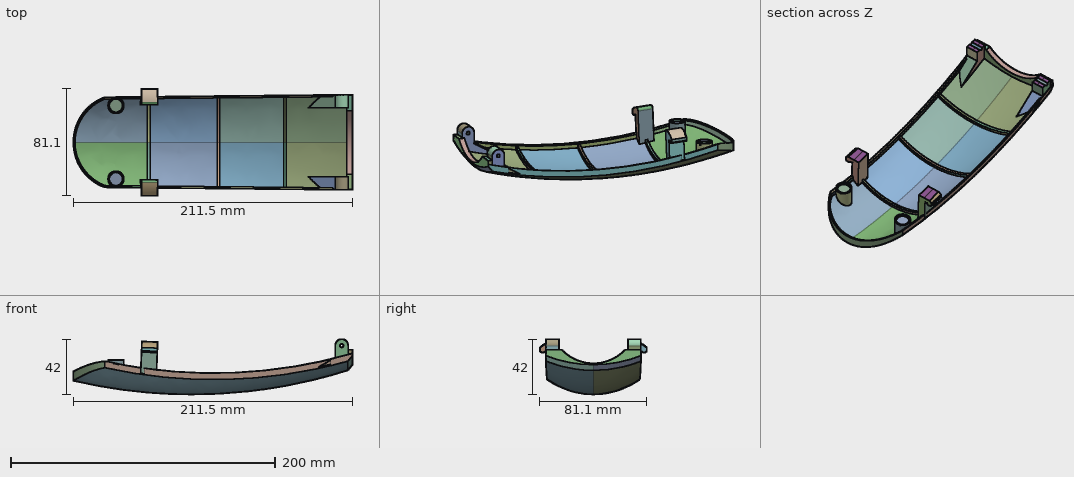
import math

import cadquery as cq

LENGTH = 211.45
HEIGHT = 42.03
HOOK_SPAN = 81.06

NOSE_START_X = 24.0
NOSE_HALF_WIDTH = 34.2
END_HALF_WIDTH = 36.1
KEEL_RADIUS = 391.0
KEEL_LOW_X = 89.7
RIM_RADIUS = 378.0
RIM_LOW_X = 106.0
RIM_LOW_Z = 16.3
SIDE_HEIGHT = 5.0
NOSE_HEIGHT = 7.1
FLOOR_THICKNESS = 2.0
SIDE_WALL = 1.5
NOSE_WALL = 1.3
STATION_COUNT = 6

BEND_X = 207.9
LIP_INNER_X = 207.0
LIP_RISE = 4.3
LIP_INSET = 0.4
LIP_TOP_Z = 34.0
LIP_ARC_HALF_WIDTH = 24.0
LIP_ARC_LOW_Z = 23.7

RIB_X = (57.1, 110.0, 160.3)
RIB_WIDTH = 2.0
RIB_HEIGHT = 2.3

BOSS_X = 32.3
BOSS_Y = 27.8
BOSS_TOP_Z = 26.2
BOSS_DIAMETER = 12.0
RECESS_DIAMETER = 10.0
RECESS_DEPTH = 1.5

HOOK_X = 51.9
HOOK_WIDTH = 12.1
HOOK_TOP_Z = 40.3
HOOK_INNER_Y = 28.4
HOOK_OUTER_Y = 34.5
HOOK_TOP_ROUND = 2.0
HOOK_TILT = 2.2
BARB_TIP_Y = HOOK_SPAN / 2
BARB_TIP_TOP_Z = 35.6
BARB_TIP_LOW_Z = 33.2
BARB_LEDGE_Z = 33.4
BARB_LOW_Y = 38.2
BARB_LOW_Z = 32.1
BARB_ROOT_Y = 36.0
BARB_CREST = (36.2, 38.7)

LUG_DIAMETER = 10.0
LUG_X = 203.2
LUG_Z = HEIGHT - LUG_DIAMETER / 2
LUG_INNER_Y = 26.0
LUG_WIDTH = 9.93
PIN_DIAMETER = 2.5
RAMP_TOP_Z = 28.0
RAMP_SLOPE = 0.58
RAMP_LENGTH = 30.0


def bend(x, radius, low_x, low_z):
    """Height at x of a circular bend whose lowest point is (low_x, low_z)."""
    return low_z + radius - math.sqrt(radius**2 - (x - low_x) ** 2)


def keel_z(x):
    return bend(x, KEEL_RADIUS, KEEL_LOW_X, 0)


def rim_z(x):
    return bend(x, RIM_RADIUS, RIM_LOW_X, RIM_LOW_Z)


def half_width(x):
    share = (x - NOSE_START_X) / (LENGTH - NOSE_START_X)
    return NOSE_HALF_WIDTH + share * (END_HALF_WIDTH - NOSE_HALF_WIDTH)


def double_arc(wire, start_y, mid_z, end_z):
    """Continue wire from (start_y, end_z) over (0, mid_z) to (-start_y, end_z) as two arcs of one circle."""
    rise = end_z - mid_z
    radius = (start_y**2 + rise**2) / (2 * rise)
    quarter_y = start_y / 2
    quarter_z = bend(quarter_y, radius, 0, mid_z)
    wire = wire.threePointArc((quarter_y, quarter_z), (0, mid_z))
    return wire.threePointArc((-quarter_y, quarter_z), (-start_y, end_z))


def section(x, low, inset=0.0, crest=None, top_z=None):
    """Cross-section at x: an arc `low` above the underside, closed by a parallel arc or a flat top.

    `crest` gives the heights of the upper arc above the underside at the middle and at the sides.
    """
    side_y = half_width(x) - inset
    mid_z = keel_z(x)
    side_z = mid_z + (rim_z(x) - SIDE_HEIGHT - mid_z) * (side_y / half_width(x)) ** 2
    wire = cq.Workplane("YZ", origin=(x, 0, 0)).moveTo(-side_y, side_z + low)
    wire = double_arc(wire, -side_y, mid_z + low, side_z + low)
    if crest is None:
        wire = wire.lineTo(side_y, top_z).lineTo(-side_y, top_z)
    else:
        mid_rise, side_rise = crest
        wire = wire.lineTo(side_y, side_z + side_rise)
        wire = double_arc(wire, side_y, mid_z + mid_rise, side_z + side_rise)
    return wire.close().val()


def trough(end_x, low, **shape):
    """Solid through the cross-sections from the nose tip to end_x."""
    stations = [end_x * i / (STATION_COUNT - 1) for i in range(STATION_COUNT)]
    wires = [section(x, low, **shape) for x in stations]
    return cq.Workplane(cq.Solid.makeLoft(wires))


def ruled_loft(start, end):
    return cq.Workplane(cq.Solid.makeLoft([start, end], True))


def nose_plan(inset=0.0):
    """Upright block with the rounded nose outline."""
    radius = (NOSE_HALF_WIDTH**2 + NOSE_START_X**2) / (2 * NOSE_START_X)
    reach = radius - inset
    start_y = math.sqrt(reach**2 - (radius - NOSE_START_X) ** 2)
    return (
        cq.Workplane("XY")
        .moveTo(NOSE_START_X, -start_y)
        .threePointArc((inset, 0), (NOSE_START_X, start_y))
        .lineTo(NOSE_START_X, HOOK_SPAN)
        .lineTo(LENGTH, HOOK_SPAN)
        .lineTo(LENGTH, -HOOK_SPAN)
        .lineTo(NOSE_START_X, -HOOK_SPAN)
        .close()
        .extrude(HEIGHT)
    )


def make_shell():
    outer = trough(BEND_X, 0, crest=(NOSE_HEIGHT, SIDE_HEIGHT)).intersect(nose_plan())
    cavity = trough(BEND_X, FLOOR_THICKNESS, inset=SIDE_WALL, top_z=HEIGHT)
    return outer.cut(cavity.intersect(nose_plan(NOSE_WALL)))


def make_lip():
    """End wall with a chamfered underside and an arched top, set in slightly from the side bands."""
    end_low = LIP_RISE - keel_z(LENGTH) + keel_z(BEND_X)
    crest = (NOSE_HEIGHT, SIDE_HEIGHT)
    band = ruled_loft(section(BEND_X, 0, crest=crest), section(LENGTH, end_low, crest=crest))
    wall = {"inset": LIP_INSET, "top_z": LIP_TOP_Z}
    root = ruled_loft(section(LIP_INNER_X, 0, **wall), section(BEND_X, 0, **wall))
    tip = ruled_loft(section(BEND_X, 0, **wall), section(LENGTH, end_low, **wall))
    arch = cq.Workplane("YZ", origin=(LIP_INNER_X, 0, 0)).moveTo(LIP_ARC_HALF_WIDTH, LIP_TOP_Z)
    arch = double_arc(arch, LIP_ARC_HALF_WIDTH, LIP_ARC_LOW_Z, LIP_TOP_Z)
    arch = arch.close().extrude(LENGTH - LIP_INNER_X)
    return root.union(tip).union(band).cut(arch)


def make_ribs():
    top = FLOOR_THICKNESS + RIB_HEIGHT
    band = trough(BEND_X, 0, inset=SIDE_WALL / 2, crest=(top, top))
    slabs = cq.Workplane("XY").pushPoints([(x, 0) for x in RIB_X]).rect(RIB_WIDTH, HOOK_SPAN).extrude(HEIGHT)
    return band.intersect(slabs)


def make_boss():
    boss = cq.Workplane("XY").center(BOSS_X, BOSS_Y).circle(BOSS_DIAMETER / 2).extrude(BOSS_TOP_Z)
    return boss.faces(">Z").workplane().circle(RECESS_DIAMETER / 2).cutBlind(-RECESS_DEPTH)


def tilt_hook(piece):
    """Lean a piece of the hook about its upper edge on the nose side."""
    return piece.rotate((HOOK_X, 0, HOOK_TOP_Z), (HOOK_X, 1, HOOK_TOP_Z), HOOK_TILT)


def make_hook_stem():
    depth = HOOK_OUTER_Y - HOOK_INNER_Y
    stem = cq.Workplane("XY", origin=(HOOK_X, HOOK_INNER_Y, 0))
    return tilt_hook(stem.box(HOOK_WIDTH, depth, BARB_LEDGE_Z, centered=False))


def make_hook_head():
    head = (
        cq.Workplane("YZ", origin=(HOOK_X, 0, 0))
        .moveTo(HOOK_INNER_Y, BARB_LEDGE_Z)
        .lineTo(HOOK_INNER_Y, HOOK_TOP_Z - HOOK_TOP_ROUND)
        .radiusArc((HOOK_INNER_Y + HOOK_TOP_ROUND, HOOK_TOP_Z), HOOK_TOP_ROUND)
        .threePointArc(BARB_CREST, (BARB_TIP_Y, BARB_TIP_TOP_Z))
        .lineTo(BARB_TIP_Y, BARB_TIP_LOW_Z)
        .threePointArc((BARB_LOW_Y, BARB_LOW_Z), (BARB_ROOT_Y, BARB_LEDGE_Z))
        .lineTo(HOOK_OUTER_Y, BARB_LEDGE_Z)
        .close()
        .extrude(HOOK_WIDTH)
    )
    return tilt_hook(head)


def make_lug():
    radius = LUG_DIAMETER / 2
    start_x = LUG_X - radius
    outline = (
        cq.Workplane("XZ", origin=(0, LUG_INNER_Y + LUG_WIDTH, 0))
        .moveTo(LUG_X + radius, 0)
        .lineTo(LUG_X + radius, LUG_Z)
        .threePointArc((LUG_X, HEIGHT), (start_x, LUG_Z))
        .lineTo(start_x, RAMP_TOP_Z)
        .lineTo(start_x - RAMP_LENGTH, RAMP_TOP_Z - RAMP_SLOPE * RAMP_LENGTH)
        .lineTo(start_x - RAMP_LENGTH, 0)
        .close()
        .extrude(LUG_WIDTH)
    )
    pin_hole = (
        cq.Workplane("XZ", origin=(0, LUG_INNER_Y + LUG_WIDTH, 0))
        .center(LUG_X, LUG_Z)
        .circle(PIN_DIAMETER / 2)
        .extrude(LUG_WIDTH)
    )
    return outline.cut(pin_hole)


def on_both_sides(feature):
    return feature.union(feature.mirror("XZ"))


room = trough(LENGTH, FLOOR_THICKNESS / 2, inset=-SIDE_WALL, top_z=HEIGHT)
standing = make_boss().union(make_hook_stem()).union(make_lug())

result = (
    make_shell()
    .union(make_lip())
    .union(make_ribs())
    .union(on_both_sides(standing.intersect(room)))
    .union(on_both_sides(make_hook_head()))
)